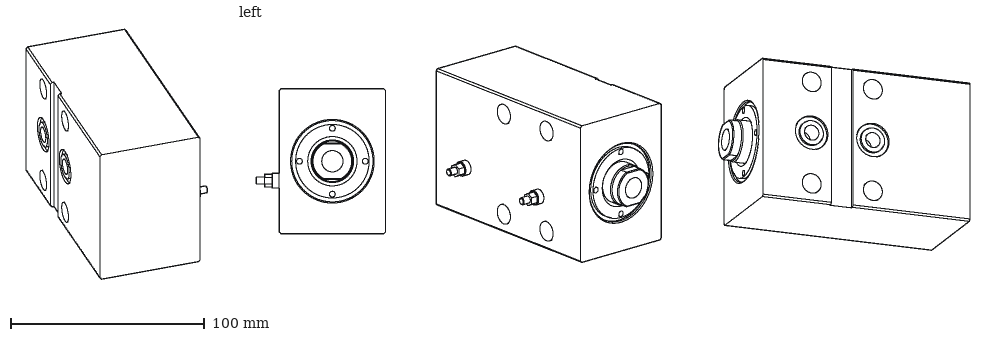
import cadquery as cq
import math


BLOCK_LENGTH = 115.0
BLOCK_DEPTH = 55.0
BLOCK_HEIGHT = 75.0
EDGE_CHAMFER = 1.0
FRONT_Y = -BLOCK_DEPTH / 2
BACK_Y = BLOCK_DEPTH / 2

SLOT_START = 38.0
SLOT_WIDTH = 12.0
SLOT_DEPTH = 2.0

COLUMN_X = (27.0, 61.0)
BOLT_HOLE_DIAMETER = 10.5
BOLT_HOLE_SPACING = 55.0
PORT_DIAMETER = 8.0
PORT_DEPTH = 12.5
SEAL_GROOVE_INNER_DIAMETER = 13.0
SEAL_GROOVE_OUTER_DIAMETER = 18.0
SEAL_GROOVE_DEPTH = 1.5

ROD_RADIUS = 11.0
ROD_PROTRUSION = 10.0
NOSE_RADIUS = 10.5
NOSE_LENGTH = 4.8
SHOULDER_LENGTH = 0.8
NOSE_TIP_CHAMFER = 0.5
NOSE_HALF_FLAT = 9.5
ROD_HOLE_RADIUS = 5.5
ROD_HOLE_DEPTH = 20.0

GLAND_LENGTH = 20.0
GLAND_RADIUS = 21.0
GLAND_BOSS_RADIUS = 19.0
GLAND_BOSS_HEIGHT = 1.9
GLAND_MOUTH_CHAMFER = 1.8
BORE_CHAMFER = 0.6
SPANNER_HOLE_COUNT = 4
SPANNER_HOLE_RADIUS = 1.5
SPANNER_HOLE_DEPTH = 5.0
SPANNER_CIRCLE_RADIUS = 17.0

DRILL_POINT_ANGLE = 118.0

SENSOR_X = (33.0, 91.0)
SENSOR_Z = -10.0
SENSOR_BASE_RADIUS = 3.9
SENSOR_BASE_LENGTH = 3.8
SENSOR_BASE_CHAMFER = 0.2
SENSOR_HEX_FLATS = 5.9
SENSOR_HEX_LENGTH = 3.8
SENSOR_TIP_RADIUS = 1.9
SENSOR_TIP_LENGTH = 4.5
SENSOR_TIP_CHAMFER = 0.4


def revolve_about_x(points):
    """Turn a closed (x, radius) outline around the X axis."""
    return cq.Workplane("XY").polyline(points).close().revolve(360, (0, 0, 0), (1, 0, 0))


def drilled_hole(start_x, radius, depth):
    """Blind hole along +X with a conical end, as a cutting tool on the X axis."""
    point_length = radius / math.tan(math.radians(DRILL_POINT_ANGLE / 2))
    return revolve_about_x([
        (start_x, 0),
        (start_x, radius),
        (start_x + depth, radius),
        (start_x + depth + point_length, 0),
    ])


def make_block():
    block = cq.Workplane("XY").box(BLOCK_LENGTH, BLOCK_DEPTH, BLOCK_HEIGHT, centered=(False, True, True))
    return block.edges("|X").chamfer(EDGE_CHAMFER)


def key_slot():
    slot = cq.Workplane("XY").box(SLOT_WIDTH, SLOT_DEPTH, BLOCK_HEIGHT, centered=(False, False, True))
    return slot.translate((SLOT_START, FRONT_Y, 0))


def mounting_face():
    """Workplane on the mounting face facing out, so negative extrusions go into the block."""
    return cq.Workplane("XZ", origin=(0, FRONT_Y, 0))


def bolt_holes():
    centers = [(x, side * BOLT_HOLE_SPACING / 2) for x in COLUMN_X for side in (-1, 1)]
    return mounting_face().pushPoints(centers).circle(BOLT_HOLE_DIAMETER / 2).extrude(-BLOCK_DEPTH)


def oil_ports():
    centers = [(x, 0) for x in COLUMN_X]
    return mounting_face().pushPoints(centers).circle(PORT_DIAMETER / 2).extrude(-PORT_DEPTH)


def seal_grooves():
    centers = [(x, 0) for x in COLUMN_X]
    face = mounting_face().pushPoints(centers)
    outer = face.circle(SEAL_GROOVE_OUTER_DIAMETER / 2).extrude(-SEAL_GROOVE_DEPTH)
    island = face.circle(SEAL_GROOVE_INNER_DIAMETER / 2).extrude(-SEAL_GROOVE_DEPTH)
    return outer.cut(island)


def gland_bore():
    """Blind bore for the gland and rod, with a chamfered mouth."""
    return revolve_about_x([
        (0, 0),
        (0, GLAND_RADIUS + BORE_CHAMFER),
        (BORE_CHAMFER, GLAND_RADIUS),
        (GLAND_LENGTH, GLAND_RADIUS),
        (GLAND_LENGTH, 0),
    ])


def make_housing():
    housing = make_block().cut(key_slot())
    housing = housing.cut(bolt_holes())
    housing = housing.cut(oil_ports())
    housing = housing.cut(seal_grooves())
    return housing.cut(gland_bore())


def make_gland():
    """Ring flush with the housing face, its rim stepped back behind the front boss."""
    gland = revolve_about_x([
        (0, ROD_RADIUS + GLAND_MOUTH_CHAMFER),
        (0, GLAND_BOSS_RADIUS),
        (GLAND_BOSS_HEIGHT, GLAND_BOSS_RADIUS),
        (GLAND_BOSS_HEIGHT, GLAND_RADIUS),
        (GLAND_LENGTH, GLAND_RADIUS),
        (GLAND_LENGTH, ROD_RADIUS),
        (GLAND_MOUTH_CHAMFER, ROD_RADIUS),
    ])
    hole = drilled_hole(0, SPANNER_HOLE_RADIUS, SPANNER_HOLE_DEPTH).translate((0, 0, SPANNER_CIRCLE_RADIUS))
    for index in range(SPANNER_HOLE_COUNT):
        angle = index * 360 / SPANNER_HOLE_COUNT
        gland = gland.cut(hole.rotate((0, 0, 0), (1, 0, 0), angle))
    return gland


def make_rod():
    """Piston rod with a reduced nose, a conical shoulder, two wrench flats and a drilled end."""
    tip_x = -ROD_PROTRUSION
    nose_end_x = tip_x + NOSE_LENGTH
    shoulder_x = nose_end_x + SHOULDER_LENGTH
    rod = revolve_about_x([
        (tip_x, 0),
        (tip_x, NOSE_RADIUS),
        (nose_end_x, NOSE_RADIUS),
        (shoulder_x, ROD_RADIUS),
        (GLAND_LENGTH, ROD_RADIUS),
        (GLAND_LENGTH, 0),
    ])
    flat_cut_height = ROD_RADIUS - NOSE_HALF_FLAT
    flat_cut_middle = NOSE_HALF_FLAT + flat_cut_height / 2
    for side in (-1, 1):
        flat_cut = cq.Workplane("XY").box(
            NOSE_LENGTH, 2 * ROD_RADIUS, flat_cut_height, centered=(False, True, True)
        )
        rod = rod.cut(flat_cut.translate((tip_x, 0, side * flat_cut_middle)))
    rod = rod.faces("<X").edges().chamfer(NOSE_TIP_CHAMFER)
    return rod.cut(drilled_hole(tip_x, ROD_HOLE_RADIUS, ROD_HOLE_DEPTH))


def make_sensor(x):
    """Sensor standing on the back face: round base, hexagon and round tip."""
    hex_diameter = SENSOR_HEX_FLATS / math.cos(math.pi / 6)
    base = cq.Workplane("XY").circle(SENSOR_BASE_RADIUS).extrude(SENSOR_BASE_LENGTH)
    base = base.faces(">Z").edges().chamfer(SENSOR_BASE_CHAMFER)
    hexagon = cq.Workplane("XY").polygon(6, hex_diameter).extrude(SENSOR_HEX_LENGTH)
    hexagon = hexagon.rotate((0, 0, 0), (0, 0, 1), 90).translate((0, 0, SENSOR_BASE_LENGTH))
    tip = cq.Workplane("XY").circle(SENSOR_TIP_RADIUS).extrude(SENSOR_TIP_LENGTH)
    tip = tip.faces(">Z").edges().chamfer(SENSOR_TIP_CHAMFER)
    tip = tip.translate((0, 0, SENSOR_BASE_LENGTH + SENSOR_HEX_LENGTH))
    sensor = base.union(hexagon).union(tip)
    sensor_along_y = sensor.rotate((0, 0, 0), (1, 0, 0), -90)
    return sensor_along_y.translate((x, BACK_Y, SENSOR_Z))


housing = make_housing()
gland = make_gland()
rod = make_rod()
sensors = [make_sensor(x) for x in SENSOR_X]

result = cq.Compound.makeCompound([
    housing.val(),
    gland.val(),
    rod.val(),
    *[sensor.val() for sensor in sensors],
])